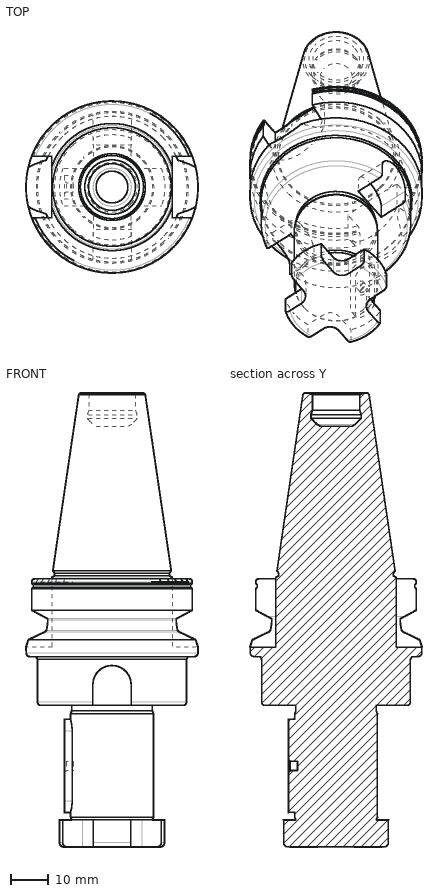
import cadquery as cq
import math

CUTTER_MARGIN = 1.2

CENTRE_TOLERANCE = 0.1

TOTAL_LENGTH = 121.4
TAPER_BASE_Z = 73.9
FLANGE_TOP_Z = 71.7
FLANGE_BOTTOM_Z = 50.9
COLLAR_BOTTOM_Z = 37.9
SHAFT_TOP_Z = 35.7
NUT_TOP_Z = 7.3

TAPER_RATIO = 7 / 24
TAPER_BASE_R = 31.7 / 2
TAPER_TIP_R = TAPER_BASE_R - (TOTAL_LENGTH - TAPER_BASE_Z) * TAPER_RATIO / 2
TIP_CHAMFER = 0.5
RELIEF_R = 15.4
RELIEF_TOP_Z = 73.2
RELIEF_FLARE_HEIGHT = 0.7
RELIEF_FOOT_R = 16.5
RELIEF_FOOT_HEIGHT = 0.2
RELIEF_RIM_R = 17.0

FLANGE_R = 46.0 / 2
FLANGE_UPPER_FILLET = 0.8
FLANGE_LOWER_FILLET = 1.1
MARK_GROOVE_MID_Z = 69.8
MARK_GROOVE_HEIGHT = 1.5
MARK_GROOVE_DEPTH = 0.4
GRIP_GROOVE_MID_Z = 59.4
GRIP_GROOVE_HEIGHT = 7.9
GRIP_GROOVE_DEPTH = 4.0
GRIP_GROOVE_FLANK_ANGLE = 30
GRIP_GROOVE_FILLET = 0.5

COLLAR_R = 40.0 / 2
COLLAR_FILLET = 1.0
COLLAR_FLARE_HEIGHT = 0.6
COLLAR_FLARE = 0.4
SHAFT_R = 22.2 / 2
SHAFT_NECK_R = 10.8
SHAFT_CHAMFER = 0.7

UPPER_SLOT_HALF_WIDTH = 16.4 / 2
UPPER_SLOT_FLOOR = 16.1
UPPER_SLOT_END_Z = 53.5
LOWER_SLOT_HALF_WIDTH = 5.1
LOWER_SLOT_FLOOR = 11.3
LOWER_SLOT_END_Z = 48.5

KEY_WIDTH = 6.3
KEY_LENGTH = 25.0
KEY_MID_Z = 21.7
KEY_FACE = 12.7
KEY_HOLE_R = 1.2
KEY_HOLE_RIM_R = 1.7
KEY_HOLE_DEPTH = 2.4

NUT_R = 14.1
NUT_FILLET = 1.3
NUT_TOOTH_HALF_WIDTH = 5.0
NUT_NOTCH_FILLET = 2.9

BORE_MOUTH_R = 7.3
BORE_MOUTH_DEPTH = 0.5
BORE_R = 12.5 / 2
BORE_DEPTH = 4.6
BORE_GROOVE_R = 6.7
BORE_GROOVE_TOP_DEPTH = 5.8
BORE_GROOVE_BOTTOM_DEPTH = 6.8
BORE_CONE_R = 5.1
FLOOR_R = 4.2
FLOOR_DEPTH = 8.9


def revolved(points):
    """Revolve a closed (radius, height) outline about Z."""
    return cq.Workplane("XZ").polyline(points).close().revolve(360, (0, 0, 0), (0, 1, 0))


def outer_rim(body, height):
    """Select the largest circle of the body whose centre lies on Z at this height."""
    reach = CENTRE_TOLERANCE
    near_centre = cq.selectors.BoxSelector((-reach, -reach, height - reach), (reach, reach, height + reach))
    largest = cq.selectors.RadiusNthSelector(-1)
    return body.edges("%CIRCLE").edges(near_centre).edges(largest)


def turned_body():
    """Revolve the stepped outline about Z, then round its outer rims."""
    outline = [
        (0, 0),
        (NUT_R, 0),
        (NUT_R, NUT_TOP_Z),
        (SHAFT_NECK_R, NUT_TOP_Z),
        (SHAFT_R, NUT_TOP_Z + SHAFT_CHAMFER),
        (SHAFT_R, SHAFT_TOP_Z),
        (SHAFT_NECK_R, SHAFT_TOP_Z + SHAFT_CHAMFER),
        (SHAFT_NECK_R, COLLAR_BOTTOM_Z),
        (COLLAR_R, COLLAR_BOTTOM_Z),
        (COLLAR_R, FLANGE_BOTTOM_Z - COLLAR_FLARE_HEIGHT),
        (COLLAR_R + COLLAR_FLARE, FLANGE_BOTTOM_Z),
        (FLANGE_R, FLANGE_BOTTOM_Z),
        (FLANGE_R, FLANGE_TOP_Z),
        (RELIEF_RIM_R, FLANGE_TOP_Z),
        (RELIEF_FOOT_R, FLANGE_TOP_Z + RELIEF_FOOT_HEIGHT),
        (RELIEF_R, FLANGE_TOP_Z + RELIEF_FLARE_HEIGHT),
        (RELIEF_R, RELIEF_TOP_Z),
        (TAPER_BASE_R, TAPER_BASE_Z),
        (TAPER_TIP_R, TOTAL_LENGTH - TIP_CHAMFER),
        (TAPER_TIP_R - TIP_CHAMFER, TOTAL_LENGTH),
        (0, TOTAL_LENGTH),
    ]
    rounded_rims = [
        (0, NUT_FILLET),
        (COLLAR_BOTTOM_Z, COLLAR_FILLET),
        (FLANGE_BOTTOM_Z, FLANGE_LOWER_FILLET),
        (FLANGE_TOP_Z, FLANGE_UPPER_FILLET),
    ]
    body = revolved(outline)
    for height, fillet in rounded_rims:
        body = outer_rim(body, height).fillet(fillet)
    return body


def flange_groove(mid_z, height, depth, flank_rise):
    """Ring-shaped cutter with sloped flanks, for a groove around the flange."""
    floor_r = FLANGE_R - depth
    half_mouth = height / 2
    half_floor = half_mouth - flank_rise
    outer_r = FLANGE_R + CUTTER_MARGIN
    return revolved(
        [
            (outer_r, mid_z - half_mouth),
            (FLANGE_R, mid_z - half_mouth),
            (floor_r, mid_z - half_floor),
            (floor_r, mid_z + half_floor),
            (FLANGE_R, mid_z + half_mouth),
            (outer_r, mid_z + half_mouth),
        ]
    )


def grip_groove():
    """Tool-changer groove with rounded floor corners."""
    flank_rise = GRIP_GROOVE_DEPTH * math.tan(math.radians(GRIP_GROOVE_FLANK_ANGLE))
    groove = flange_groove(GRIP_GROOVE_MID_Z, GRIP_GROOVE_HEIGHT, GRIP_GROOVE_DEPTH, flank_rise)
    floor_corners = cq.selectors.RadiusNthSelector(0)
    return groove.edges("%CIRCLE").edges(floor_corners).fillet(GRIP_GROOVE_FILLET)


def mark_groove():
    """Shallow groove just below the flange top."""
    return flange_groove(MARK_GROOVE_MID_Z, MARK_GROOVE_HEIGHT, MARK_GROOVE_DEPTH, MARK_GROOVE_DEPTH)


def tip_bore():
    """Blind bore that opens at the taper tip, with an undercut above its conical end."""
    cone_end_depth = BORE_GROOVE_BOTTOM_DEPTH + (BORE_GROOVE_R - BORE_CONE_R)
    radius_and_depth = [
        (0, 0),
        (BORE_MOUTH_R, 0),
        (BORE_R, BORE_MOUTH_DEPTH),
        (BORE_R, BORE_DEPTH),
        (BORE_GROOVE_R, BORE_GROOVE_TOP_DEPTH),
        (BORE_GROOVE_R, BORE_GROOVE_BOTTOM_DEPTH),
        (BORE_CONE_R, cone_end_depth),
        (FLOOR_R, FLOOR_DEPTH),
        (0, FLOOR_DEPTH),
    ]
    return revolved([(radius, TOTAL_LENGTH - depth) for radius, depth in radius_and_depth])


def upper_slots():
    """Drive slots on +X and -X: open at the top, round at the bottom."""
    round_z = UPPER_SLOT_END_Z + UPPER_SLOT_HALF_WIDTH
    slot = (
        cq.Workplane("YZ", origin=(UPPER_SLOT_FLOOR, 0, 0))
        .moveTo(-UPPER_SLOT_HALF_WIDTH, TAPER_BASE_Z)
        .lineTo(-UPPER_SLOT_HALF_WIDTH, round_z)
        .threePointArc((0, UPPER_SLOT_END_Z), (UPPER_SLOT_HALF_WIDTH, round_z))
        .lineTo(UPPER_SLOT_HALF_WIDTH, TAPER_BASE_Z)
        .close()
        .extrude(FLANGE_R)
    )
    return slot.union(slot.mirror("YZ"))


def lower_slots():
    """Drive slots on +Y and -Y of the collar: open at the bottom, round at the top."""
    round_z = LOWER_SLOT_END_Z - LOWER_SLOT_HALF_WIDTH
    slot = (
        cq.Workplane("XZ", origin=(0, -LOWER_SLOT_FLOOR, 0))
        .moveTo(-LOWER_SLOT_HALF_WIDTH, COLLAR_BOTTOM_Z)
        .lineTo(-LOWER_SLOT_HALF_WIDTH, round_z)
        .threePointArc((0, LOWER_SLOT_END_Z), (LOWER_SLOT_HALF_WIDTH, round_z))
        .lineTo(LOWER_SLOT_HALF_WIDTH, COLLAR_BOTTOM_Z)
        .close()
        .extrude(FLANGE_R)
    )
    return slot.union(slot.mirror("XZ"))


def nut_notches():
    """Four corner notches that leave a cross of teeth on the nut."""
    notch = (
        cq.Workplane("XY")
        .rect(NUT_R, NUT_R, centered=False)
        .extrude(NUT_TOP_Z)
        .translate((NUT_TOOTH_HALF_WIDTH, NUT_TOOTH_HALF_WIDTH, 0))
        .edges("|Z and <X and <Y")
        .fillet(NUT_NOTCH_FILLET)
    )
    notches = notch
    for quarter in range(1, 4):
        notches = notches.union(notch.rotate((0, 0, 0), (0, 0, 1), 90 * quarter))
    return notches


def key():
    """Round-ended key on the -X side of the shaft."""
    return (
        cq.Workplane("YZ", origin=(-KEY_FACE, 0, KEY_MID_Z))
        .slot2D(KEY_LENGTH, KEY_WIDTH, 90)
        .extrude(KEY_FACE)
    )


def key_hole():
    """Countersunk blind hole in the middle of the key face."""
    rim = KEY_HOLE_RIM_R - KEY_HOLE_R
    return (
        cq.Workplane("XZ", origin=(-KEY_FACE, 0, KEY_MID_Z))
        .lineTo(0, KEY_HOLE_RIM_R)
        .lineTo(rim, KEY_HOLE_R)
        .lineTo(KEY_HOLE_DEPTH, KEY_HOLE_R)
        .lineTo(KEY_HOLE_DEPTH, 0)
        .close()
        .revolve(360, (0, 0, 0), (1, 0, 0))
    )


result = (
    turned_body()
    .cut(grip_groove())
    .cut(mark_groove())
    .cut(tip_bore())
    .cut(upper_slots())
    .cut(lower_slots())
    .cut(nut_notches())
    .union(key())
    .cut(key_hole())
)